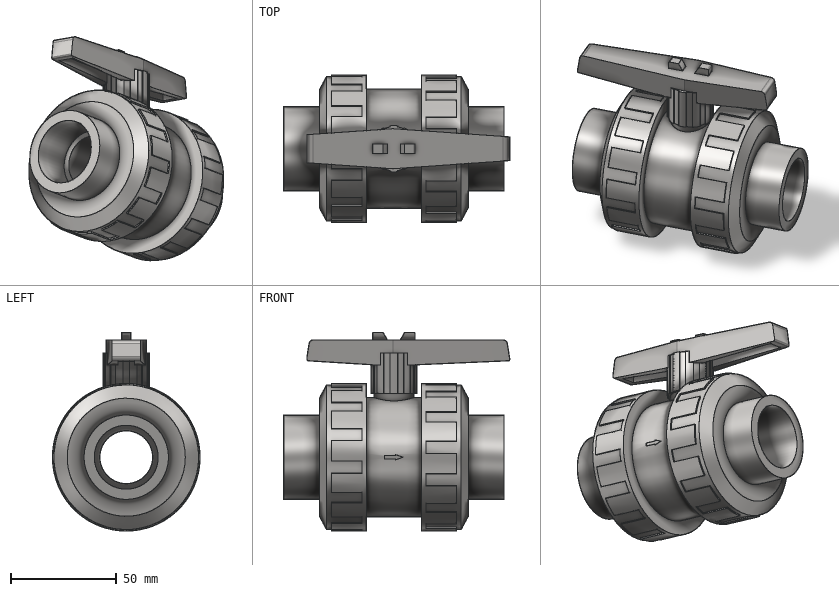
import cadquery as cq
import math


margin = 1.0

body_d = 56.7
pipe_d = 40.0
pipe_end_x = 52.25
bore_d = 25.0
socket_d = 30.3
socket_depth = 22.0

arrow_half_length = 4.4
arrow_neck_x = 0.7
arrow_shaft_half_height = 0.75
arrow_head_half_height = 1.25
arrow_depth = 0.2

nut_d = 70.0
nut_root_d = 68.6
nut_face_d = 56.0
nut_inner_x = 13.0
nut_collar_x = 15.15
nut_rib_end_x = 29.6
nut_cone_x = 31.9
nut_outer_x = 35.3
nut_rib_count = 14
nut_rib_angle = 16.0
nut_rib_phase = 5.1

neck_d = 19.0
hub_bottom_z = 30.3
hub_top_z = 49.4
hub_d = 22.0
hub_root_d = 21.0
spline_count = 10
spline_angle = 20.0

handle_left_x = -41.2
handle_right_x = 55.13
handle_ridge_x = -0.5
handle_ridge_width = 19.0
handle_taper = 4.0
handle_top_z = 55.6
handle_end_bottom_z = 45.7
handle_hub_bottom_z = 43.7
handle_hub_flat = 9.0
handle_end_draft = 9.0
handle_left_foot = 2.0
handle_top_fillet = 2.0
handle_bottom_fillet = 0.8
notch_width = 12.8
channel_width = 8.0
channel_depth = 5.0
channel_end_wall = 4.0

lug_outer_x = 10.05
lug_inner_x = 3.05
lug_inner_top_x = 5.1
lug_top_z = 59.17
lug_width = 4.5
lug_fillet = 0.5


def x_cylinder(diameter, start_x, end_x):
    """Cylinder on the flow axis."""
    return cq.Workplane("YZ", origin=(start_x, 0, 0)).circle(diameter / 2).extrude(end_x - start_x)


def z_cylinder(diameter, bottom_z, top_z):
    """Cylinder on the stem axis."""
    return cq.Workplane("XY", origin=(0, 0, bottom_z)).circle(diameter / 2).extrude(top_z - bottom_z)


def sector(radius, angle):
    """Closed triangle from the centre, spanning the angle about local +X and reaching past the radius."""
    reach = radius + margin
    half_width = reach * math.tan(math.radians(angle / 2))
    return cq.Workplane("XY").polyline([(0, 0), (reach, -half_width), (reach, half_width)]).close()


def make_nut():
    """Right-hand union nut: conical outer end, plain collar and ribs around the rim."""
    blank = (
        cq.Workplane("XY")
        .polyline([
            (nut_inner_x, 0),
            (nut_inner_x, nut_root_d / 2),
            (nut_cone_x, nut_root_d / 2),
            (nut_outer_x, nut_face_d / 2),
            (nut_outer_x, 0),
        ])
        .close()
        .revolve(360, (0, 0, 0), (1, 0, 0))
    )
    collar = x_cylinder(nut_d, nut_inner_x, nut_collar_x)
    rib_ring = x_cylinder(nut_d, nut_collar_x, nut_rib_end_x)
    wedge = (
        sector(nut_d / 2, nut_rib_angle)
        .extrude(nut_rib_end_x - nut_collar_x)
        .rotate((0, 0, 0), (0, 1, 0), 90)
        .rotate((0, 0, 0), (1, 0, 0), 90)
        .translate((nut_collar_x, 0, 0))
    )
    nut = blank.union(collar)
    for index in range(nut_rib_count):
        turn = nut_rib_phase + index * 360 / nut_rib_count
        nut = nut.union(rib_ring.intersect(wedge.rotate((0, 0, 0), (1, 0, 0), turn)))
    return nut


def make_arrow():
    """Cutter for the flow arrow, which points along +X."""
    outline = [
        (-arrow_half_length, -arrow_shaft_half_height),
        (arrow_neck_x, -arrow_shaft_half_height),
        (arrow_neck_x, -arrow_head_half_height),
        (arrow_half_length, 0),
        (arrow_neck_x, arrow_head_half_height),
        (arrow_neck_x, arrow_shaft_half_height),
        (-arrow_half_length, arrow_shaft_half_height),
    ]
    block = cq.Workplane("XZ").polyline(outline).close().extrude(body_d)
    core = x_cylinder(body_d - 2 * arrow_depth, -nut_inner_x, nut_inner_x)
    return block.cut(core)


def make_hub():
    """Splined hub on a plain neck; one spline points along -Y."""
    height = hub_top_z - hub_bottom_z
    hub = z_cylinder(neck_d, 0, hub_bottom_z).union(z_cylinder(hub_root_d, hub_bottom_z, hub_top_z))
    ring = z_cylinder(hub_d, hub_bottom_z, hub_top_z)
    wedge = sector(hub_d / 2, spline_angle).extrude(height).translate((0, 0, hub_bottom_z))
    for index in range(spline_count):
        turn = -90 + index * 360 / spline_count
        hub = hub.union(ring.intersect(wedge.rotate((0, 0, 0), (0, 0, 1), turn)))
    return hub


def make_handle():
    """Lever that tapers in width and depth towards both ends, notched over the hub."""
    height = handle_top_z - handle_end_bottom_z
    draft = math.tan(math.radians(handle_end_draft))
    left_lean = (height - handle_left_foot) * draft
    right_lean = height * draft
    side = (
        cq.Workplane("XZ")
        .polyline([
            (handle_left_x, handle_end_bottom_z),
            (-handle_hub_flat, handle_hub_bottom_z),
            (handle_hub_flat, handle_hub_bottom_z),
            (handle_right_x, handle_end_bottom_z),
            (handle_right_x - right_lean, handle_top_z),
            (handle_left_x + left_lean, handle_top_z),
            (handle_left_x, handle_end_bottom_z + handle_left_foot),
        ])
        .close()
        .extrude(handle_ridge_width / 2, both=True)
    )
    top_ends = cq.selectors.BoxSelector(
        (handle_left_x, -margin, handle_top_z - margin),
        (handle_right_x, margin, handle_top_z + margin),
    )
    side = side.edges("|Y").edges(top_ends).fillet(handle_top_fillet)
    side = side.edges("|Y").edges("<X or >X").edges("<Z").fillet(handle_bottom_fillet)

    ridge = handle_ridge_width / 2
    slope = math.tan(math.radians(handle_taper))
    left = ridge - slope * (handle_ridge_x - handle_left_x)
    right = ridge - slope * (handle_right_x - handle_ridge_x)
    plan = (
        cq.Workplane("XY")
        .polyline([
            (handle_left_x, -left),
            (handle_ridge_x, -ridge),
            (handle_right_x, -right),
            (handle_right_x, right),
            (handle_ridge_x, ridge),
            (handle_left_x, left),
        ])
        .close()
        .extrude(handle_top_z)
    )
    notch = cq.Workplane("XY").box(notch_width, hub_d, hub_top_z, centered=(True, True, False))
    channel_start = handle_left_x + channel_end_wall
    channel = cq.Workplane("XY").box(
        handle_right_x - channel_end_wall - channel_start,
        channel_width,
        handle_hub_bottom_z + channel_depth,
        centered=(False, True, False),
    ).translate((channel_start, 0, 0))
    return side.intersect(plan).cut(notch).cut(channel)


def make_lug():
    """Right-hand lug on the handle, sloped on the side facing the stem axis."""
    return (
        cq.Workplane("XZ")
        .polyline([
            (lug_inner_x, handle_top_z),
            (lug_outer_x, handle_top_z),
            (lug_outer_x, lug_top_z),
            (lug_inner_top_x, lug_top_z),
        ])
        .close()
        .extrude(lug_width / 2, both=True)
        .edges(">X and >Z")
        .fillet(lug_fillet)
    )


def half_turn(shape):
    """Copy of a shape turned to the opposite side of the stem axis."""
    return shape.rotate((0, 0, 0), (0, 0, 1), 180)


body = x_cylinder(body_d, -nut_inner_x, nut_inner_x)
body = body.union(x_cylinder(pipe_d, -pipe_end_x, pipe_end_x))
body = body.cut(make_arrow())

nut = make_nut()
lug = make_lug()
result = body.union(nut).union(half_turn(nut)).union(make_hub())
result = result.union(make_handle()).union(lug).union(half_turn(lug))

result = result.cut(x_cylinder(bore_d, -pipe_end_x, pipe_end_x))
socket = x_cylinder(socket_d, pipe_end_x - socket_depth, pipe_end_x)
result = result.cut(socket).cut(half_turn(socket))